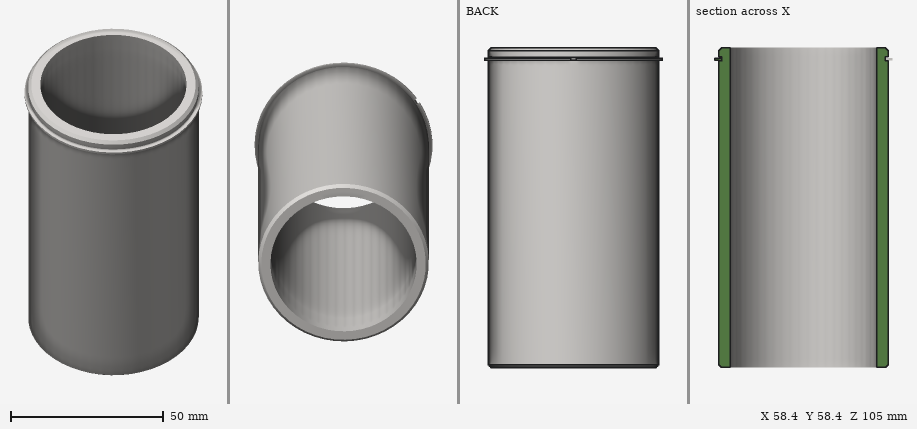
import cadquery as cq

sleeve_length = 105.0
sleeve_radius = 28.0
bore_radius = 24.0
end_chamfer = 1.0

ring_outer_radius = 58.4 / 2
ring_thickness = 0.8
ring_gap_width = 1.8
ring_bottom_z = 100.8
groove_depth = 1.0
groove_width = 1.1
groove_floor_radius = sleeve_radius - groove_depth


def make_tube(outer_radius, inner_radius, bottom_z, height):
    """Tube around the Z axis, rising from bottom_z."""
    return (
        cq.Workplane("XY", origin=(0, 0, bottom_z))
        .circle(outer_radius)
        .circle(inner_radius)
        .extrude(height)
    )


def make_sleeve():
    """Tube with both outer rims chamfered and a snap-ring groove near the top."""
    blank = (
        cq.Workplane("XY")
        .circle(sleeve_radius)
        .extrude(sleeve_length)
        .edges("%CIRCLE")
        .chamfer(end_chamfer)
    )
    bore = cq.Workplane("XY").circle(bore_radius).extrude(sleeve_length)
    groove = make_tube(ring_outer_radius, groove_floor_radius, ring_bottom_z, groove_width)
    return blank.cut(bore).cut(groove)


def make_snap_ring():
    """Flat ring resting in the groove, split by a parallel-sided gap on the +Y side."""
    ring = make_tube(ring_outer_radius, groove_floor_radius, ring_bottom_z, ring_thickness)
    gap = (
        cq.Workplane("XY", origin=(0, 0, ring_bottom_z))
        .rect(ring_gap_width, ring_outer_radius * 2)
        .extrude(ring_thickness)
        .translate((0, ring_outer_radius, 0))
    )
    return ring.cut(gap)


sleeve = make_sleeve()
snap_ring = make_snap_ring()

result = cq.Compound.makeCompound([sleeve.val(), snap_ring.val()])